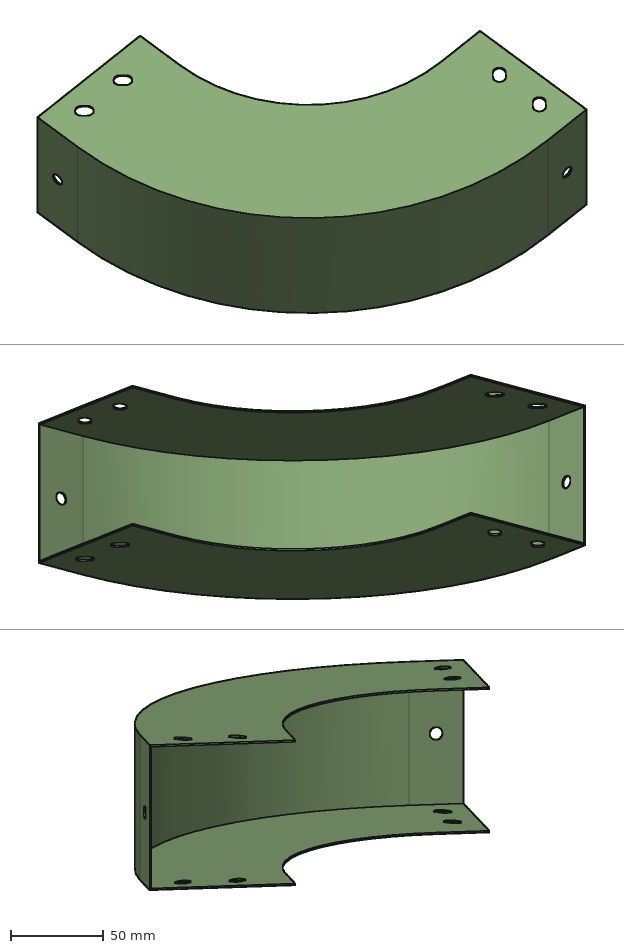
import cadquery as cq
import math

overall_size = 210.0
height = 80.0
channel_width = 80.0
leg_length = 30.0
sheet_thickness = 1.0

hole_diameter = 7.0
slot_length = 10.0
end_to_hole = leg_length / 2
slot_spacing = 30.0
wall_to_slot = 20.0

outer_radius = overall_size - leg_length
inner_radius = outer_radius - channel_width
first_slot = sheet_thickness + wall_to_slot
slot_offsets = (first_slot, first_slot + slot_spacing)


def bend_profile(outer_offset, inner_offset):
    """Band between two inward offsets from the outside edge, with straight legs at both ends.

    The outside edge lies on Y = 0 at the -X leg and on X = overall_size at the +Y leg.
    """
    diagonal = math.sqrt(0.5)

    def arc_middle(offset):
        radius = outer_radius - offset
        return (leg_length + radius * diagonal, outer_radius - radius * diagonal)

    return (
        cq.Workplane("XY")
        .moveTo(0, outer_offset)
        .lineTo(leg_length, outer_offset)
        .threePointArc(arc_middle(outer_offset), (overall_size - outer_offset, outer_radius))
        .lineTo(overall_size - outer_offset, overall_size)
        .lineTo(overall_size - inner_offset, overall_size)
        .lineTo(overall_size - inner_offset, outer_radius)
        .threePointArc(arc_middle(inner_offset), (leg_length, inner_offset))
        .lineTo(0, inner_offset)
        .close()
    )


def slot_pair(points, base_z, angle):
    """Two parallel slots, one sheet thickness deep."""
    return (
        cq.Workplane("XY", origin=(0, 0, base_z))
        .pushPoints(points)
        .slot2D(slot_length, hole_diameter, angle)
        .extrude(sheet_thickness)
    )


def slot_cutters(base_z, start_leg_angle):
    """Slots of one plate; those in the +Y leg are turned 90 degrees from the -X leg."""
    start_leg_points = [(end_to_hole, offset) for offset in slot_offsets]
    end_leg_points = [(overall_size - offset, overall_size - end_to_hole) for offset in slot_offsets]
    start_slots = slot_pair(start_leg_points, base_z, start_leg_angle)
    end_slots = slot_pair(end_leg_points, base_z, start_leg_angle + 90)
    return start_slots.union(end_slots)


def wall_hole_cutter(center, direction):
    """Round hole through the wall, starting at its outside face."""
    return cq.Workplane(cq.Solid.makeCylinder(
        hole_diameter / 2, sheet_thickness, cq.Vector(*center), cq.Vector(*direction)
    ))


top_plate_z = height - sheet_thickness
plate = bend_profile(0, channel_width).extrude(sheet_thickness)
wall = bend_profile(0, sheet_thickness).extrude(height)
result = wall.union(plate).union(plate.translate((0, 0, top_plate_z)))

result = result.cut(slot_cutters(top_plate_z, 45))
result = result.cut(slot_cutters(0, -45))

result = result.cut(wall_hole_cutter((end_to_hole, 0, height / 2), (0, 1, 0)))
result = result.cut(wall_hole_cutter((overall_size, overall_size - end_to_hole, height / 2), (-1, 0, 0)))